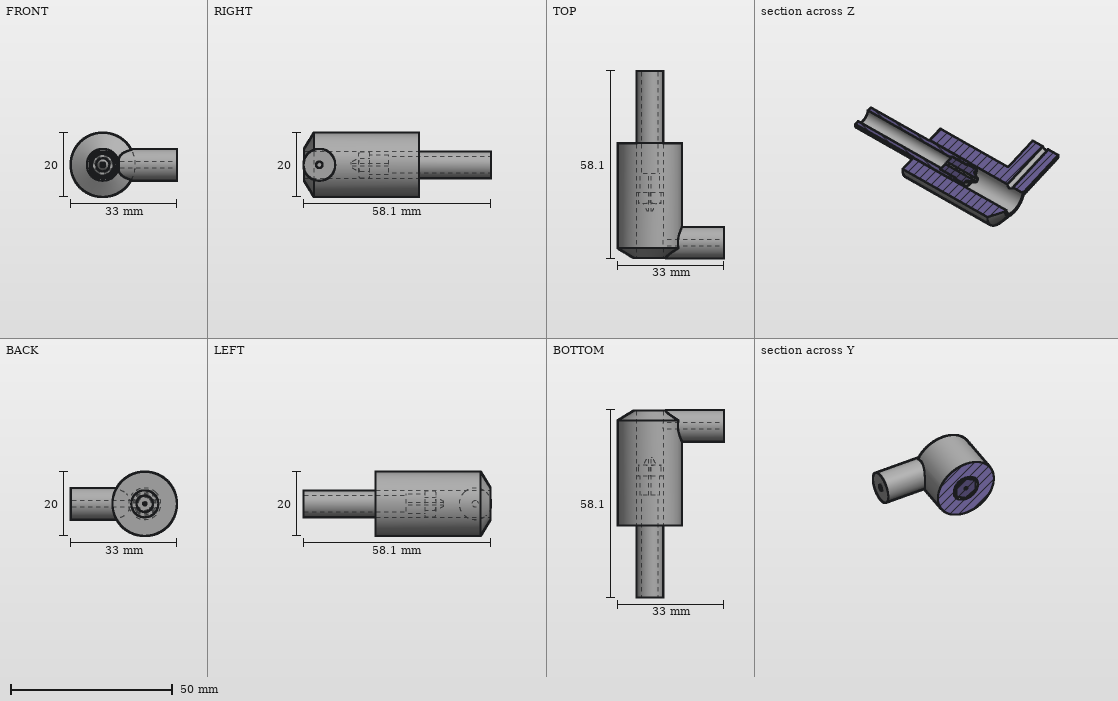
import cadquery as cq
import math


housing_diameter = 20.0
housing_length = 35.6
nose_face_diameter = 9.9
nose_length = 3.1
bore_diameter = 8.35
branch_diameter = 9.9
branch_overhang = 0.2
branch_start_x = 4.95
branch_end_x = 22.95
branch_hole_diameter = 2.0
branch_y = branch_diameter / 2 - branch_overhang

overall_length = 58.1
tube_front_y = 20.35
tube_rear_y = overall_length - branch_overhang
tube_inner_diameter = 5.05
socket_diameter = 6.0
socket_depth = 5.8

hex_across_flats = 7.0
hex_across_corners = hex_across_flats / math.cos(math.pi / 6)
hex_face_diameter = 6.8
hex_length = 3.5
hex_chamfer_angle = 30.0
tip_base_diameter = 4.05
tip_end_diameter = 1.5
tip_length = 2.3
orifice_diameter = 0.8


def cylinder_y(diameter, start, end):
    """Cylinder on the main axis between two Y positions."""
    return cq.Workplane("XZ", origin=(0, start, 0)).circle(diameter / 2).extrude(start - end)


def cylinder_x(diameter, start, end):
    """Cylinder on the branch axis between two X positions."""
    return cq.Workplane("YZ", origin=(start, branch_y, 0)).circle(diameter / 2).extrude(end - start)


def revolve_y(profile):
    """Turn a closed (radius, Y) outline about the main axis."""
    return cq.Workplane("XY").polyline(profile).close().revolve(360, (0, 0, 0), (0, 1, 0))


def make_housing():
    shell = revolve_y([
        (0, 0),
        (nose_face_diameter / 2, 0),
        (housing_diameter / 2, nose_length),
        (housing_diameter / 2, housing_length),
        (0, housing_length),
    ])
    branch = cylinder_x(branch_diameter, branch_start_x, branch_end_x)
    main_bore = cylinder_y(bore_diameter, 0, housing_length)
    branch_hole = cylinder_x(branch_hole_diameter, 0, branch_end_x)
    return shell.union(branch).cut(main_bore).cut(branch_hole)


def make_tube():
    tube = cylinder_y(bore_diameter, tube_front_y, tube_rear_y)
    passage = cylinder_y(tube_inner_diameter, tube_front_y, tube_rear_y)
    socket = cylinder_y(socket_diameter, tube_front_y, tube_front_y + socket_depth)
    return tube.cut(passage).cut(socket)


def make_nozzle():
    hex_front_y = tube_front_y - hex_length
    tip_y = hex_front_y - tip_length
    shank_rear_y = tube_front_y + socket_depth

    head = (
        cq.Workplane("XZ", origin=(0, tube_front_y, 0))
        .transformed(rotate=(0, 0, 90))
        .polygon(6, hex_across_corners)
        .extrude(hex_length)
    )
    face_radius = hex_face_diameter / 2
    corner_radius = hex_across_corners / 2
    bevel_length = (corner_radius - face_radius) * math.tan(math.radians(hex_chamfer_angle))
    envelope = revolve_y([
        (0, hex_front_y),
        (face_radius, hex_front_y),
        (corner_radius, hex_front_y + bevel_length),
        (corner_radius, tube_front_y),
        (0, tube_front_y),
    ])
    head = head.intersect(envelope)

    tip = revolve_y([
        (0, tip_y),
        (tip_end_diameter / 2, tip_y),
        (tip_base_diameter / 2, hex_front_y),
        (0, hex_front_y),
    ])
    shank = cylinder_y(socket_diameter, tube_front_y, shank_rear_y)
    orifice = cylinder_y(orifice_diameter, tip_y, shank_rear_y)
    return head.union(tip).union(shank).cut(orifice)


housing = make_housing()
tube = make_tube()
nozzle = make_nozzle()

result = cq.Compound.makeCompound([housing.val(), tube.val(), nozzle.val()])